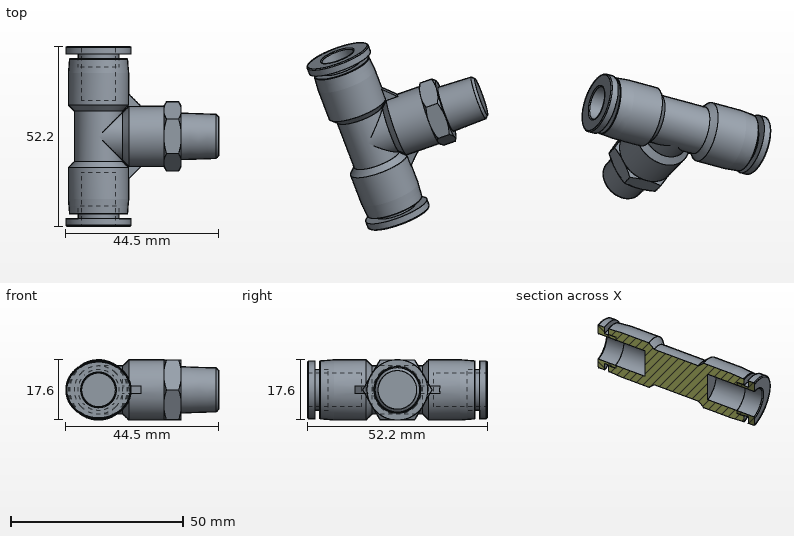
import cadquery as cq
import math

socket_radius = 17.6 / 2
neck_radius = 14.05 / 2
shoulder_length = socket_radius - neck_radius

shoulder_end = 9.1
socket_taper_start = 18.3
socket_taper_break = 20.3
socket_end = 22.55
taper_break_radius = 8.6
socket_end_radius = 8.45
socket_edge_chamfer = 0.15

branch_shoulder_end = socket_radius
branch_end = 19.0

rib_thickness = 2.15
rib_leg = 3.5

half_length = 26.1
collar_width = 19.0
collar_height = 16.8
flange_thickness = 2.25
flange_chamfer = 0.3
sleeve_radius = 11.9 / 2
tube_bore_radius = 9.75 / 2
bore_chamfer = 0.3
collar_length = 5.95
sleeve_inner_end = half_length - collar_length
tube_stop = 10.45

hex_across_flats = 17.45
hex_end = 24.0
hex_corner_radius = hex_across_flats / math.sqrt(3)
hex_face_radius = socket_radius
hex_chamfer_angle = math.radians(30)
hex_chamfer_length = (hex_corner_radius - hex_face_radius) * math.tan(hex_chamfer_angle)
thread_root_radius = 6.8
thread_tip_radius = 12.9 / 2
thread_chamfer = 0.85
stud_end = 35.0


def revolve_about_y(profile):
    """Revolve a closed outline of (radius, y) points about the Y axis."""
    return cq.Workplane("XY").polyline(profile).close().revolve(360, (0, 0), (0, 1))


def revolve_about_x(profile):
    """Revolve a closed outline of (x, radius) points about the X axis."""
    return cq.Workplane("XY").polyline(profile).close().revolve(360, (0, 0), (1, 0))


def mirror_to_side(body, side):
    """Return the +Y body for side 1, or its mirror image for side -1."""
    return body if side > 0 else body.mirror("XZ")


def make_run():
    """Outer shape of the run, from one socket mouth to the other."""
    half_outline = [
        (neck_radius, shoulder_end - shoulder_length),
        (socket_radius, shoulder_end),
        (socket_radius, socket_taper_start),
        (taper_break_radius, socket_taper_break),
        (socket_end_radius, socket_end - socket_edge_chamfer),
        (socket_end_radius - socket_edge_chamfer, socket_end),
        (0, socket_end),
    ]
    mirrored_half = [(radius, -y) for radius, y in reversed(half_outline)]
    return revolve_about_y(mirrored_half + half_outline)


def make_socket_bore():
    """Bore of the +Y socket: a recess filled by the collar sleeve, then a blind tube bore."""
    return revolve_about_y([
        (0, tube_stop),
        (tube_bore_radius, tube_stop),
        (tube_bore_radius, sleeve_inner_end),
        (sleeve_radius, sleeve_inner_end),
        (sleeve_radius, socket_end),
        (0, socket_end),
    ])


def make_branch():
    """Branch barrel that swells from the neck to the socket diameter."""
    return revolve_about_x([
        (0, 0),
        (0, neck_radius),
        (branch_shoulder_end - shoulder_length, neck_radius),
        (branch_shoulder_end, socket_radius),
        (branch_end, socket_radius),
        (branch_end, 0),
    ])


def make_rib():
    """Triangular web in the +Y corner; its square corner lies inside the barrels."""
    corner = neck_radius
    tip = 2 * socket_radius + rib_leg - corner
    outline = [(corner, corner), (tip, corner), (corner, tip)]
    return (
        cq.Workplane("XY")
        .polyline(outline)
        .close()
        .extrude(rib_thickness / 2, both=True)
    )


def make_tee():
    tee = make_run().union(make_branch())
    for side in (1, -1):
        tee = tee.union(mirror_to_side(make_rib(), side))
        tee = tee.cut(mirror_to_side(make_socket_bore(), side))
    return tee


def make_collar(side):
    """Oval release flange with a round sleeve reaching into the socket."""
    flange = (
        cq.Workplane("XZ", origin=(0, half_length, 0))
        .ellipse(collar_width / 2, collar_height / 2)
        .extrude(flange_thickness)
        .faces(">Y")
        .chamfer(flange_chamfer)
    )
    sleeve = revolve_about_y([
        (0, sleeve_inner_end),
        (sleeve_radius, sleeve_inner_end),
        (sleeve_radius, half_length - flange_thickness),
        (0, half_length - flange_thickness),
    ])
    bore = revolve_about_y([
        (0, sleeve_inner_end),
        (tube_bore_radius, sleeve_inner_end),
        (tube_bore_radius, half_length - bore_chamfer),
        (tube_bore_radius + bore_chamfer, half_length),
        (0, half_length),
    ])
    return mirror_to_side(flange.union(sleeve).cut(bore), side)


def make_stud():
    """Hexagon with corners on Y, chamfered on both faces, and a tapered thread blank."""
    hexagon = (
        cq.Workplane("YZ", origin=(branch_end, 0, 0))
        .polygon(6, 2 * hex_corner_radius)
        .extrude(hex_end - branch_end)
    )
    corner_trim = revolve_about_x([
        (branch_end, 0),
        (branch_end, hex_face_radius),
        (branch_end + hex_chamfer_length, hex_corner_radius),
        (hex_end - hex_chamfer_length, hex_corner_radius),
        (hex_end, hex_face_radius),
        (hex_end, 0),
    ])
    thread = revolve_about_x([
        (hex_end, 0),
        (hex_end, thread_root_radius),
        (stud_end - thread_chamfer, thread_tip_radius),
        (stud_end, thread_tip_radius - thread_chamfer),
        (stud_end, 0),
    ])
    return hexagon.intersect(corner_trim).union(thread)


tee = make_tee()
stud = make_stud()
collars = [make_collar(side) for side in (1, -1)]

result = cq.Compound.makeCompound([
    tee.val(),
    stud.val(),
    *[collar.val() for collar in collars],
])